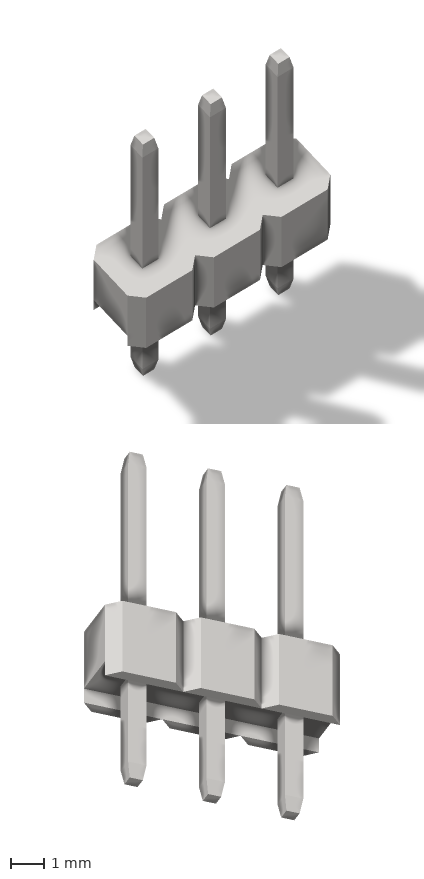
import cadquery as cq

pin_count = 3
pitch = 2.54
pin_length = 11.5

housing_width = 2.5
housing_height = 2.5
corner_cut = 0.4
channel_depth = 0.5
channel_width = housing_width - 2 * corner_cut
pin_above_housing = 6.0

pin_width = 0.6
tip_width = 0.43
tip_length = 0.5

pin_top = pin_length / 2
housing_top = pin_top - pin_above_housing
housing_bottom = housing_top - housing_height


def make_housing():
    """Chamfered block standing on two side legs."""
    block = (
        cq.Workplane("XY", origin=(0, 0, housing_bottom))
        .rect(housing_width, pitch)
        .extrude(housing_height)
        .edges("|Z")
        .chamfer(corner_cut)
    )
    channel = (
        cq.Workplane("XY", origin=(0, 0, housing_bottom))
        .rect(channel_width, pitch)
        .extrude(channel_depth)
    )
    return block.cut(channel)


def make_pin():
    """Square shaft with the same taper at both ends."""
    shaft_length = pin_length - 2 * tip_length
    shaft = cq.Workplane("XY").box(pin_width, pin_width, shaft_length)
    upper_tip = (
        cq.Workplane("XY", origin=(0, 0, shaft_length / 2))
        .rect(pin_width, pin_width)
        .workplane(offset=tip_length)
        .rect(tip_width, tip_width)
        .loft(ruled=True)
    )
    lower_tip = upper_tip.mirror("XY")
    return shaft.union(upper_tip).union(lower_tip)


def make_header_segment(y_position):
    """One housing segment and its pin, formed as a single body."""
    return make_housing().union(make_pin()).translate((0, y_position, 0))


first_y = -pitch * (pin_count - 1) / 2
header_segments = [make_header_segment(first_y + i * pitch) for i in range(pin_count)]

result = cq.Compound.makeCompound([segment.val() for segment in header_segments])